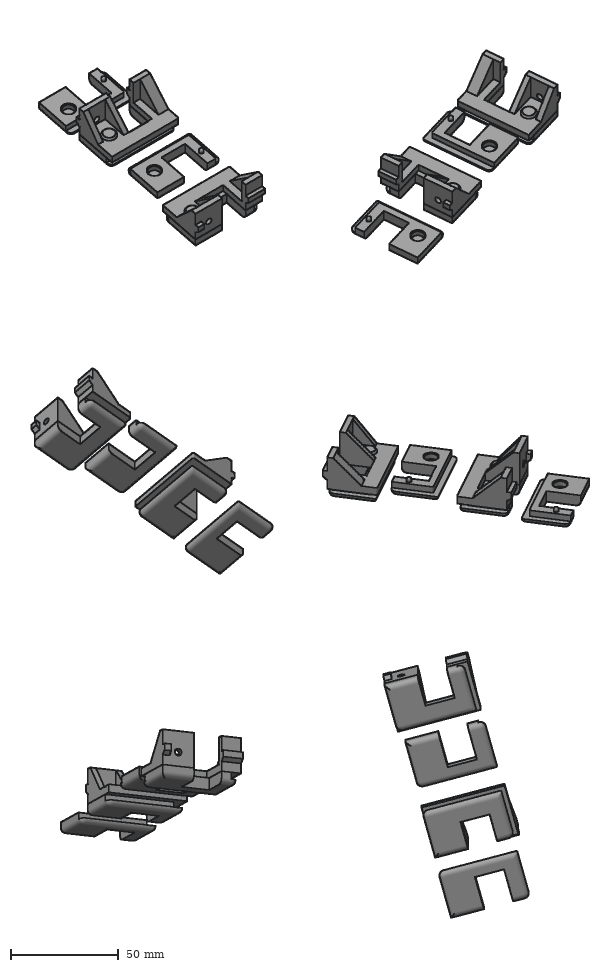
import cadquery as cq


OVERALL_LENGTH = 117.6

BLOCK_LENGTH = 19.9
BLOCK_WIDTH = 35.0
PLATE_HEIGHT = 5.8
FLANGE_OVERHANG = 3.0
FLANGE_HEIGHT = 2.6
FLANGE_END_RADIUS = 2.7
CORNER_RADIUS = 0.7

FRONT_ARM_WIDTH = 16.0
SLOT_WIDTH = 14.0
SLOT_DEPTH = 16.5
CARRIER_SLOT_DEPTH = 13.9

SOCKET_X = 12.0
SOCKET_Y = FRONT_ARM_WIDTH / 2

SOCKET_RADIUS = 3.2
SOCKET_DEPTH = PLATE_HEIGHT - FLANGE_HEIGHT
SOCKET_CHAMFER = 0.5
STUD_X = 7.6
STUD_RADIUS = 1.2
STUD_SHANK = 0.9

BRACKET_LENGTH = 24.0
BRACKET_WIDTH = 40.0
BRACKET_HEIGHT = 16.9
BASE_HEIGHT = 3.9
WALL_THICKNESS = 2.9
REAR_RIB_THICKNESS = 6.0
RIB_THICKNESS = 2.9
FRONT_RIB_FOOT = 13.8

LEDGE_REACH = 2.1
LEDGE_TOP = 9.6
LEDGE_FACE = 3.2
LEDGE_SLOPE = 1.8
FRONT_LEDGE_WIDTH = 3.5

WALL_HOLE_RADIUS = 1.6
WALL_HOLE_HEIGHT = 6.8

PLUG_RADIUS = 3.9
PLUG_TIP_RADIUS = 3.0
PLUG_HEAD_HEIGHT = 1.2

REAR_ARM_Y = FRONT_ARM_WIDTH + SLOT_WIDTH
STUD_Y = (REAR_ARM_Y + BLOCK_WIDTH) / 2
FLANGE_LENGTH = BLOCK_LENGTH + FLANGE_OVERHANG
FLANGE_WIDTH = BLOCK_WIDTH + FLANGE_OVERHANG


def box(length, width, height, x=0, y=0, z=0):
    return cq.Workplane().box(length, width, height, centered=False).translate((x, y, z))


def cylinder(radius, height, x, y, z):
    return cq.Workplane().circle(radius).extrude(height).translate((x, y, z))


def flange():
    body = box(FLANGE_LENGTH, FLANGE_WIDTH, PLATE_HEIGHT)
    body = body.edges("|Z and >X and <Y").fillet(FLANGE_END_RADIUS)
    body = body.edges("|Z and <X and >Y").fillet(FLANGE_END_RADIUS)
    body = body.edges("|Z and >X and >Y").fillet(CORNER_RADIUS)
    body = body.faces("<Z").edges().fillet(FLANGE_HEIGHT)
    return body.intersect(box(FLANGE_LENGTH, FLANGE_WIDTH, FLANGE_HEIGHT))


def slotted_plate(slot_depth):
    block = box(BLOCK_LENGTH, BLOCK_WIDTH, PLATE_HEIGHT - FLANGE_HEIGHT, z=FLANGE_HEIGHT)
    block = block.edges("|Z and >X and >Y").fillet(CORNER_RADIUS)
    slot = box(slot_depth, SLOT_WIDTH, PLATE_HEIGHT, y=FRONT_ARM_WIDTH)
    return flange().union(block).cut(slot)


def stud():
    shank = cylinder(STUD_RADIUS, STUD_SHANK, STUD_X, STUD_Y, PLATE_HEIGHT)
    dome = cq.Workplane().sphere(STUD_RADIUS).translate((STUD_X, STUD_Y, PLATE_HEIGHT + STUD_SHANK))
    return shank.union(dome)


def socket():
    bore = cylinder(SOCKET_RADIUS, SOCKET_DEPTH, SOCKET_X, SOCKET_Y, PLATE_HEIGHT - SOCKET_DEPTH)
    rim_radius = SOCKET_RADIUS + SOCKET_CHAMFER
    rim = cylinder(rim_radius, SOCKET_DEPTH, SOCKET_X, SOCKET_Y, PLATE_HEIGHT - SOCKET_CHAMFER)
    return bore.union(rim.faces("<Z").chamfer(SOCKET_CHAMFER))


def loose_plate():
    return slotted_plate(SLOT_DEPTH).cut(socket()).union(stud())


def rib(foot, y, thickness):
    profile = [
        (0, 0),
        (foot, 0),
        (foot, BASE_HEIGHT),
        (WALL_THICKNESS, BRACKET_HEIGHT),
        (0, BRACKET_HEIGHT),
    ]
    return cq.Workplane("XZ").polyline(profile).close().extrude(-thickness).translate((0, y, 0))


def ledge(y, width):
    face_bottom = LEDGE_TOP - LEDGE_FACE
    profile = [
        (0, LEDGE_TOP),
        (-LEDGE_REACH, LEDGE_TOP),
        (-LEDGE_REACH, face_bottom),
        (0, face_bottom - LEDGE_SLOPE),
    ]
    return cq.Workplane("XZ").polyline(profile).close().extrude(-width).translate((0, y, 0))


def bracket():
    base = box(BRACKET_LENGTH, BRACKET_WIDTH, BASE_HEIGHT)
    base = base.edges("|Z and >X and >Y").fillet(CORNER_RADIUS)
    body = base.union(box(WALL_THICKNESS, BRACKET_WIDTH, BRACKET_HEIGHT))
    body = body.cut(box(SLOT_DEPTH, SLOT_WIDTH, BRACKET_HEIGHT, y=FRONT_ARM_WIDTH))
    body = body.union(rib(FRONT_RIB_FOOT, 0, RIB_THICKNESS))
    body = body.union(rib(SLOT_DEPTH, FRONT_ARM_WIDTH - RIB_THICKNESS, RIB_THICKNESS))
    body = body.union(rib(SLOT_DEPTH, BRACKET_WIDTH - REAR_RIB_THICKNESS, REAR_RIB_THICKNESS))
    body = body.union(ledge(0, FRONT_LEDGE_WIDTH))
    body = body.union(ledge(REAR_ARM_Y, BRACKET_WIDTH - REAR_ARM_Y))
    wall_hole = cq.Workplane("YZ").circle(WALL_HOLE_RADIUS).extrude(WALL_THICKNESS)
    body = body.cut(wall_hole.translate((0, FRONT_ARM_WIDTH / 2, WALL_HOLE_HEIGHT)))
    return body.cut(cylinder(PLUG_RADIUS, BASE_HEIGHT, SOCKET_X, SOCKET_Y, 0))


def plug():
    full_height = BASE_HEIGHT + PLUG_HEAD_HEIGHT
    body = cylinder(PLUG_RADIUS, full_height, SOCKET_X, SOCKET_Y, 0)
    return body.faces(">Z").chamfer(PLUG_HEAD_HEIGHT, PLUG_RADIUS - PLUG_TIP_RADIUS)


def placed(body, x, y, z, mirrored):
    if mirrored:
        body = body.mirror("YZ")
    return body.translate((x, y, z)).val()


LOOSE_PLATES = [
    (0, 0.5, 0, False),
    (85.4, 1.8, 6.7, True),
]
ASSEMBLIES = [
    (29.3, 0.8, 1.8, False),
    (OVERALL_LENGTH - LEDGE_REACH, 0, 0.4, True),
]

solids = [placed(loose_plate(), *place) for place in LOOSE_PLATES]
for x, y, z, mirrored in ASSEMBLIES:
    solids.append(placed(slotted_plate(CARRIER_SLOT_DEPTH), x, y, z, mirrored))
    solids.append(placed(bracket(), x, y, z + PLATE_HEIGHT, mirrored))
    solids.append(placed(plug(), x, y, z + PLATE_HEIGHT, mirrored))

result = cq.Compound.makeCompound(solids)